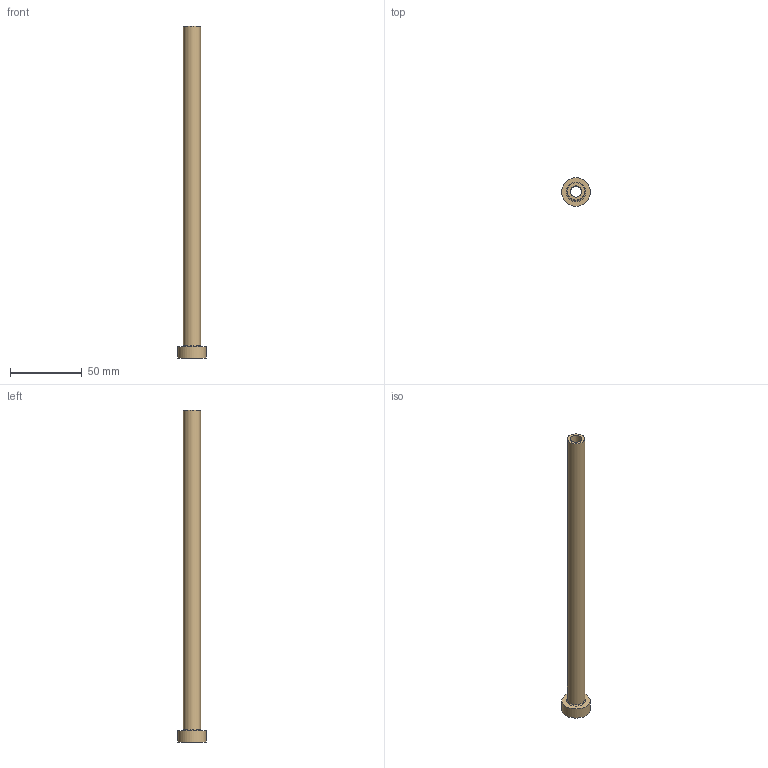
import cadquery as cq

total_length = 232.0
head_diameter = 20.0
head_height = 8.0
shaft_diameter = 12.0
bore_diameter = 8.0
neck_fillet_radius = 0.8

head_radius = head_diameter / 2
shaft_radius = shaft_diameter / 2
bore_radius = bore_diameter / 2
fillet_outer_radius = shaft_radius + neck_fillet_radius
fillet_top_z = head_height + neck_fillet_radius


def make_sleeve():
    """Headed sleeve with a through bore: half section revolved about Z."""
    half_section = (
        cq.Workplane("XZ")
        .moveTo(bore_radius, 0)
        .lineTo(head_radius, 0)
        .lineTo(head_radius, head_height)
        .lineTo(fillet_outer_radius, head_height)
        .radiusArc((shaft_radius, fillet_top_z), neck_fillet_radius)
        .lineTo(shaft_radius, total_length)
        .lineTo(bore_radius, total_length)
        .close()
    )
    return half_section.revolve(360, (0, 0, 0), (0, 1, 0))


result = make_sleeve()